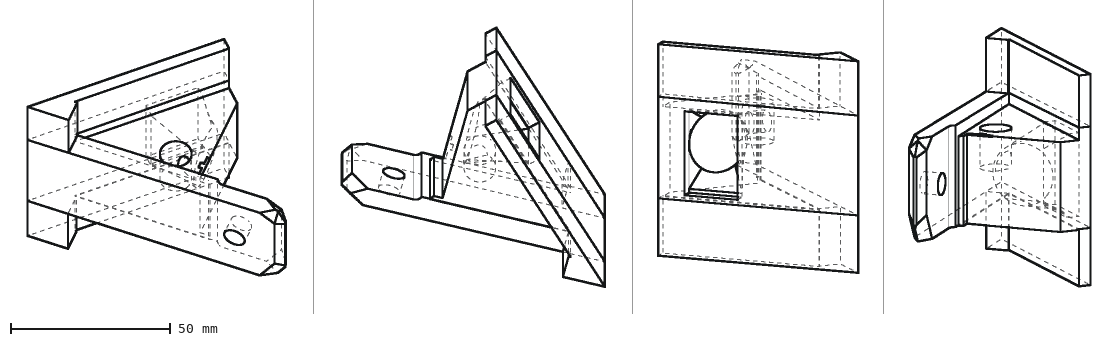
import cadquery as cq
import math

TOTAL_LENGTH = 85.9
TOTAL_WIDTH = 47.4
TOTAL_HEIGHT = 68.0

BAR_THICKNESS = 7.4
BAR_BOTTOM = 18.5
BAR_TOP_AT_HEEL = 50.6
BAR_TOP_AT_TIP = 51.6

STRIP_OFFSET = 5.7
UPPER_FOOT_LENGTH = 13.9
LOWER_FOOT_LENGTH = 13.65

TAB_THICKNESS = 5.9
TAB_STEP_START = 61.2
TAB_STEP_END = 63.5
TAB_STEP_SAG = 0.3
TIP_BEVEL_START = 83.4
TIP_EDGE_NEAR = 2.5
TIP_EDGE_FAR = TAB_THICKNESS - TIP_EDGE_NEAR
TAB_HOLE_DIAMETER = 7.0
TAB_HOLE_X = 69.8
TAB_HOLE_Z = 34.2

CORE_BOTTOM = 18.2
CORE_TOP = 47.15
CORE_FACE_X = 54.8
CORE_LEDGE_Y = 8.8
CORE_LEDGE_X = 57.6
CORE_TOE_X = 58.6

PORT_DIAMETER = 10.0
PORT_X = 44.2
PORT_Y = 14.5
PORT_FLOOR = 34.35

WINDOW_BOTTOM = 20.2
WINDOW_NEAR_Y = 28.6
WINDOW_FAR_Y = 41.1
CAVITY_BOTTOM = 21.4
CAVITY_TOP = 46.7
CAVITY_END_X = 49.8
CAVITY_END_Y = 25.7
CAVITY_END_Z = 34.35
CAVITY_END_DIAMETER = 20.1

RECESS_DEPTH = 0.3
RECESS_X = 53.85
RECESS_NEAR_Y = 9.1
RECESS_FAR_Y = 17.0
NOTCH_X = 52.7
NOTCH_NEAR_Y = 12.45
NOTCH_FAR_Y = 14.4

STRIP_INNER_HEEL = (BAR_THICKNESS + STRIP_OFFSET, BAR_THICKNESS)
STRIP_OUTER_END = (TOTAL_WIDTH, TOTAL_WIDTH)
STRIP_INNER_END = (TOTAL_WIDTH + STRIP_OFFSET / 2, TOTAL_WIDTH - STRIP_OFFSET / 2)
CORE_CORNER = (CORE_FACE_X, 2 * TOTAL_WIDTH - CORE_FACE_X)

CUT_SIZE = 51.5


def block(x_range, y_range, z_range):
    """Axis-aligned box between three coordinate ranges."""
    (x0, x1), (y0, y1), (z0, z1) = x_range, y_range, z_range
    return cq.Workplane("XY").box(x1 - x0, y1 - y0, z1 - z0, centered=False).translate((x0, y0, z0))


def bar_envelope():
    """Space between the flat bottom and the sloping top of the bar."""
    side = [
        (0, BAR_BOTTOM),
        (TOTAL_LENGTH, BAR_BOTTOM),
        (TOTAL_LENGTH, BAR_TOP_AT_TIP),
        (0, BAR_TOP_AT_HEEL),
    ]
    return cq.Workplane("XZ").polyline(side).close().extrude(-TOTAL_WIDTH)


def wing(foot_length, z_bottom, z_top):
    outline = [
        (0, 0),
        (foot_length, 0),
        (foot_length, BAR_THICKNESS),
        STRIP_INNER_HEEL,
        STRIP_INNER_END,
        STRIP_OUTER_END,
    ]
    prism = cq.Workplane("XY").workplane(offset=z_bottom).polyline(outline).close().extrude(z_top - z_bottom)
    return prism.cut(bar_envelope())


def bar_and_strip():
    step_mid = (
        (TAB_STEP_START + TAB_STEP_END) / 2 - TAB_STEP_SAG,
        (BAR_THICKNESS + TAB_THICKNESS) / 2 - TAB_STEP_SAG,
    )
    profile = (
        cq.Workplane("XY")
        .moveTo(0, 0)
        .lineTo(TIP_BEVEL_START, 0)
        .lineTo(TOTAL_LENGTH, TIP_EDGE_NEAR)
        .lineTo(TOTAL_LENGTH, TIP_EDGE_FAR)
        .lineTo(TIP_BEVEL_START, TAB_THICKNESS)
        .lineTo(TAB_STEP_END, TAB_THICKNESS)
        .threePointArc(step_mid, (TAB_STEP_START, BAR_THICKNESS))
        .lineTo(*STRIP_INNER_HEEL)
        .lineTo(*STRIP_INNER_END)
        .lineTo(*STRIP_OUTER_END)
        .close()
    )
    return profile.extrude(TOTAL_HEIGHT).intersect(bar_envelope())


def corner_cutter(a, b, c):
    """Block standing on the plane through a, b and c, on the side of (b - a) x (c - a)."""
    origin = cq.Vector(*a)
    along = cq.Vector(*b) - origin
    normal = along.cross(cq.Vector(*c) - origin)
    plane = cq.Plane(origin=origin, xDir=along, normal=normal)
    return cq.Workplane(plane).rect(CUT_SIZE, CUT_SIZE).extrude(CUT_SIZE)


def tab_corner_cutters():
    """Facets that point the two free corners of the tab, mirrored about its mid-plane."""
    mid_y = TAB_THICKNESS / 2
    top_start = (78.3, 0, 51.5)
    top_shoulder = (TIP_BEVEL_START, 0, 48.3)
    top_ridge = (TIP_BEVEL_START, mid_y, 51.0)
    top_tip = (TOTAL_LENGTH, TIP_EDGE_NEAR, 46.2)
    bottom_start = (78.3, 0, BAR_BOTTOM)
    bottom_ridge = (83.2, mid_y, BAR_BOTTOM)
    bottom_shoulder = (TIP_BEVEL_START, 0, 27.3)
    near_side = [
        corner_cutter(top_start, top_shoulder, top_ridge),
        corner_cutter(top_shoulder, top_tip, top_ridge),
        corner_cutter(bottom_start, bottom_ridge, bottom_shoulder),
    ]
    far_side = [cutter.mirror("XZ", (0, mid_y, 0)) for cutter in near_side]
    return near_side + far_side


def tab_hole():
    return (
        cq.Workplane("XZ")
        .center(TAB_HOLE_X, TAB_HOLE_Z)
        .circle(TAB_HOLE_DIAMETER / 2)
        .extrude(-BAR_THICKNESS)
    )


def core():
    outline = [
        STRIP_INNER_HEEL,
        (CORE_TOE_X, BAR_THICKNESS),
        (CORE_LEDGE_X, CORE_LEDGE_Y),
        (CORE_FACE_X, CORE_LEDGE_Y),
        CORE_CORNER,
        STRIP_INNER_END,
    ]
    height = CORE_TOP - CORE_BOTTOM
    return cq.Workplane("XY").workplane(offset=CORE_BOTTOM).polyline(outline).close().extrude(height)


def window():
    """Rectangular opening square to the 45 degree face, as deep as the strip."""
    half_offset = STRIP_OFFSET / 2
    outline = [
        (WINDOW_NEAR_Y, WINDOW_NEAR_Y),
        (WINDOW_NEAR_Y + half_offset, WINDOW_NEAR_Y - half_offset),
        (WINDOW_FAR_Y + half_offset, WINDOW_FAR_Y - half_offset),
        (WINDOW_FAR_Y, WINDOW_FAR_Y),
    ]
    height = CORE_TOP - WINDOW_BOTTOM
    return cq.Workplane("XY").workplane(offset=WINDOW_BOTTOM).polyline(outline).close().extrude(height)


def cavity():
    """Funnel from the rectangular window to a round end wall square to X."""
    half_offset = STRIP_OFFSET / 2
    middle = (WINDOW_NEAR_Y + WINDOW_FAR_Y) / 2
    mouth_plane = cq.Plane(
        origin=(middle + half_offset, middle - half_offset, (CAVITY_BOTTOM + CAVITY_TOP) / 2),
        xDir=(1, 1, 0),
        normal=(1, -1, 0),
    )
    mouth_width = (WINDOW_FAR_Y - WINDOW_NEAR_Y) * math.sqrt(2)
    mouth = cq.Workplane(mouth_plane).rect(mouth_width, CAVITY_TOP - CAVITY_BOTTOM).wires().val()
    end_plane = cq.Plane(
        origin=(CAVITY_END_X, CAVITY_END_Y, CAVITY_END_Z),
        xDir=(0, 1, 0),
        normal=(1, 0, 0),
    )
    end = cq.Workplane(end_plane).circle(CAVITY_END_DIAMETER / 2).wires().val()
    return cq.Workplane(obj=cq.Solid.makeLoft([mouth, end], True))


def port():
    """Round hole from the top of the core down into the cavity."""
    return (
        cq.Workplane("XY")
        .workplane(offset=PORT_FLOOR)
        .center(PORT_X, PORT_Y)
        .circle(PORT_DIAMETER / 2)
        .extrude(CORE_TOP - PORT_FLOOR)
    )


def top_edge_recess():
    z_range = (CORE_TOP - RECESS_DEPTH, CORE_TOP)
    recess = block((RECESS_X, CORE_FACE_X), (RECESS_NEAR_Y, RECESS_FAR_Y), z_range)
    notch = block((NOTCH_X, RECESS_X), (NOTCH_NEAR_Y, NOTCH_FAR_Y), z_range)
    return recess.union(notch)


def make_bracket():
    body = bar_and_strip()
    for cutter in tab_corner_cutters():
        body = body.cut(cutter)
    body = body.cut(tab_hole()).union(core())
    for opening in (window(), cavity(), port(), top_edge_recess()):
        body = body.cut(opening)
    return body


bracket = make_bracket()
upper_wing = wing(UPPER_FOOT_LENGTH, BAR_BOTTOM, TOTAL_HEIGHT)
lower_wing = wing(LOWER_FOOT_LENGTH, 0, BAR_BOTTOM)

result = cq.Compound.makeCompound([body.solids().val() for body in (bracket, upper_wing, lower_wing)])